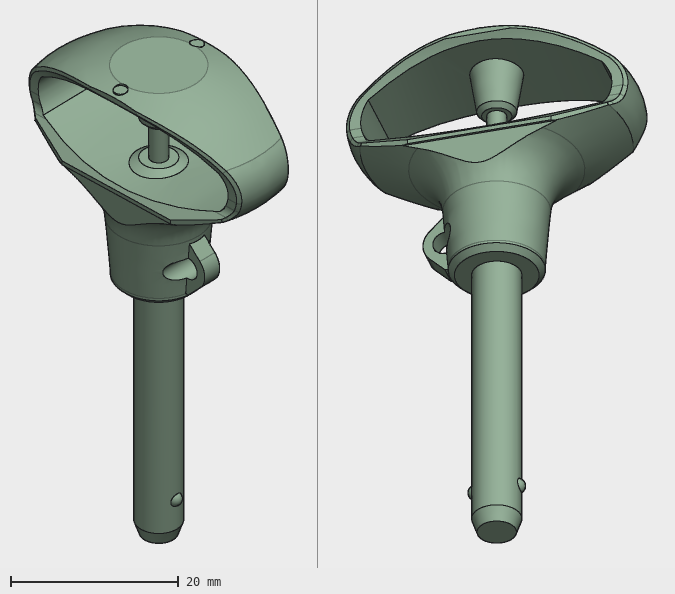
import cadquery as cq
import math

HANDLE_HEIGHT = 31.0
TOTAL_HEIGHT = 68.0
SHANK_LENGTH = TOTAL_HEIGHT - HANDLE_HEIGHT

CROWN_FLAT_RADIUS = 5.87
CROWN_SPHERE_RADIUS = 25.0
CROWN_EDGE_RADIUS = 16.35
RIM_RADIUS = 17.95
RIM_HEIGHT = 21.9
LOWER_RIM_RADIUS = 16.3
LOWER_RIM_HEIGHT = 18.2
FLARE_RADIUS = 10.5
FLARE_HEIGHT = 15.2
FLARE_MIDDLE = (7.8, 13.0)
NECK_TOP_RADIUS = 6.45
NECK_TOP_HEIGHT = 9.2
NECK_BOTTOM_RADIUS = 5.8
NECK_CHAMFER = 0.75
NECK_BAND_TOP = 1.1

MAX_HALF_WIDTH = 7.95
WAIST_HALF_WIDTH = 4.4
WAIST_TOP_HEIGHT = 21.3
WAIST_BOTTOM_HEIGHT = 20.1
WAIST_UPPER_RADIUS = 11.6
WAIST_UPPER_SWEEP = math.radians(60)
WAIST_LOWER_RADIUS = 1.7
WAIST_LOWER_SWEEP = math.radians(45)
LIP_HALF_WIDTH = 7.33
LIP_BOTTOM_HEIGHT = 15.9
FLAT_HALF_WIDTH = 7.05
LIP_BEVEL_START = 8.9
LIP_BEVEL_END = (15.4, 5.2)
SIDE_EDGE_CHAMFER = 0.4

WINDOW_HALF_LENGTH = 15.6
WINDOW_TIP_HEIGHT = 21.7
WINDOW_UPPER_HALF = 14.5
WINDOW_UPPER_HEIGHT = 24.8
WINDOW_LOWER_HALF = 14.5
WINDOW_LOWER_HEIGHT = 19.1
WINDOW_CEILING = 29.0
WINDOW_FLOOR = 16.9

PLUNGER_TOP_RADIUS = 3.25
PLUNGER_BOTTOM_RADIUS = 2.4
PLUNGER_BOTTOM_HEIGHT = 22.9
PLUNGER_CHAMFER = 0.6
ROD_RADIUS = 1.2
COLLAR_TOP_RADIUS = 2.4
COLLAR_BOTTOM_RADIUS = 3.65
COLLAR_TOP_HEIGHT = 17.6
JOINT_OVERLAP = 0.5

SPOT_RADIUS = 0.9
SPOT_OFFSET = 6.6
SPOT_DROP = 0.25

LUG_CENTER_X = 6.05
LUG_CENTER_HEIGHT = 5.0
LUG_RADIUS = 2.75
LUG_HOLE_RADIUS = 1.5
LUG_THICKNESS = 2.6

SHANK_RADIUS = 3.0
TIP_RADIUS = 2.35
TIP_LENGTH = 1.9
BALL_RADIUS = 0.95
BALL_REACH = 3.55
BALL_FROM_TIP = 6.15

CLEARANCE = 1.0


def crown_height(radius):
    """Height of the spherical crown at a given distance from the axis."""
    center = HANDLE_HEIGHT - math.sqrt(CROWN_SPHERE_RADIUS**2 - CROWN_FLAT_RADIUS**2)
    return center + math.sqrt(CROWN_SPHERE_RADIUS**2 - radius**2)


def turned(profile):
    """Revolve a profile of radius and height about Z, with its seam at -X."""
    solid = profile.close().revolve(360, (0, 0, 0), (0, 1, 0))
    return solid.rotate((0, 0, 0), (0, 0, 1), 180)


def handle_blank():
    crown_middle = (CROWN_FLAT_RADIUS + CROWN_EDGE_RADIUS) / 2
    return turned(
        cq.Workplane("XZ")
        .lineTo(NECK_BOTTOM_RADIUS - NECK_CHAMFER, 0)
        .lineTo(NECK_BOTTOM_RADIUS, NECK_CHAMFER)
        .lineTo(NECK_BOTTOM_RADIUS, NECK_BAND_TOP)
        .lineTo(NECK_TOP_RADIUS, NECK_TOP_HEIGHT)
        .threePointArc(FLARE_MIDDLE, (FLARE_RADIUS, FLARE_HEIGHT))
        .lineTo(LOWER_RIM_RADIUS, LOWER_RIM_HEIGHT)
        .threePointArc((RIM_RADIUS, RIM_HEIGHT), (CROWN_EDGE_RADIUS, crown_height(CROWN_EDGE_RADIUS)))
        .threePointArc((crown_middle, crown_height(crown_middle)), (CROWN_FLAT_RADIUS, HANDLE_HEIGHT))
        .lineTo(0, HANDLE_HEIGHT)
    )


def waist_point(start_height, radius, angle):
    """Point on an arc that leaves the waist vertically; a negative angle runs downward."""
    return (
        WAIST_HALF_WIDTH + radius * (1 - math.cos(angle)),
        start_height + radius * math.sin(angle),
    )


def side_cutter():
    """Everything outside the waisted +Y side of the handle."""
    lower_middle = waist_point(WAIST_BOTTOM_HEIGHT, WAIST_LOWER_RADIUS, -WAIST_LOWER_SWEEP / 2)
    lower_end = waist_point(WAIST_BOTTOM_HEIGHT, WAIST_LOWER_RADIUS, -WAIST_LOWER_SWEEP)
    upper_middle = waist_point(WAIST_TOP_HEIGHT, WAIST_UPPER_RADIUS, WAIST_UPPER_SWEEP / 2)
    upper_end = waist_point(WAIST_TOP_HEIGHT, WAIST_UPPER_RADIUS, WAIST_UPPER_SWEEP)
    lip_top = lower_end[1] - (LIP_HALF_WIDTH - lower_end[0]) * math.tan(WAIST_LOWER_SWEEP)
    outside = RIM_RADIUS + CLEARANCE
    return (
        cq.Workplane("YZ")
        .moveTo(WAIST_HALF_WIDTH, WAIST_TOP_HEIGHT)
        .lineTo(WAIST_HALF_WIDTH, WAIST_BOTTOM_HEIGHT)
        .threePointArc(lower_middle, lower_end)
        .lineTo(LIP_HALF_WIDTH, lip_top)
        .lineTo(LIP_HALF_WIDTH, LIP_BOTTOM_HEIGHT)
        .lineTo(FLAT_HALF_WIDTH, LIP_BOTTOM_HEIGHT)
        .lineTo(FLAT_HALF_WIDTH, NECK_TOP_HEIGHT)
        .lineTo(outside, NECK_TOP_HEIGHT)
        .lineTo(outside, upper_end[1])
        .lineTo(*upper_end)
        .threePointArc(upper_middle, (WAIST_HALF_WIDTH, WAIST_TOP_HEIGHT))
        .close()
        .extrude(outside, both=True)
    )


def is_side_edge(edge):
    """True for the sloping edges where a waisted side meets the turned surface of the rim and crown."""
    box = edge.BoundingBox()
    level = box.zlen < SIDE_EDGE_CHAMFER / 10
    on_rim_or_crown = edge.Center().z > LOWER_RIM_HEIGHT
    off_center = abs(edge.Center().y) > CLEARANCE
    return on_rim_or_crown and off_center and not level


def waisted_handle():
    cutter = side_cutter()
    body = handle_blank().cut(cutter).cut(cutter.mirror("XZ"))
    edges = [edge for edge in body.edges().vals() if is_side_edge(edge)]
    body = body.newObject(edges).chamfer(SIDE_EDGE_CHAMFER)
    width_limit = (
        cq.Workplane("XY")
        .rect(2 * (RIM_RADIUS + CLEARANCE), 2 * MAX_HALF_WIDTH)
        .extrude(HANDLE_HEIGHT + CLEARANCE)
    )
    return body.intersect(width_limit)


def lip_bevels():
    """Four upright prisms that bevel the ends of the two lips."""
    prism = (
        cq.Workplane("XY", origin=(0, 0, FLARE_HEIGHT))
        .moveTo(LIP_BEVEL_START, LIP_HALF_WIDTH)
        .lineTo(*LIP_BEVEL_END)
        .lineTo(LIP_BEVEL_END[0], LIP_HALF_WIDTH)
        .close()
        .extrude(WAIST_BOTTOM_HEIGHT - FLARE_HEIGHT)
    )
    pair = prism.union(prism.mirror("YZ"))
    return pair.union(pair.mirror("XZ"))


def window():
    upper_right = (WINDOW_UPPER_HALF, WINDOW_UPPER_HEIGHT)
    upper_left = (-WINDOW_UPPER_HALF, WINDOW_UPPER_HEIGHT)
    lower_right = (WINDOW_LOWER_HALF, WINDOW_LOWER_HEIGHT)
    lower_left = (-WINDOW_LOWER_HALF, WINDOW_LOWER_HEIGHT)
    return (
        cq.Workplane("XZ")
        .moveTo(*lower_left)
        .threePointArc((0, WINDOW_FLOOR), lower_right)
        .threePointArc((WINDOW_HALF_LENGTH, WINDOW_TIP_HEIGHT), upper_right)
        .threePointArc((0, WINDOW_CEILING), upper_left)
        .threePointArc((-WINDOW_HALF_LENGTH, WINDOW_TIP_HEIGHT), lower_left)
        .close()
        .extrude(MAX_HALF_WIDTH + CLEARANCE, both=True)
    )


def plunger():
    base = WINDOW_FLOOR - JOINT_OVERLAP
    top = WINDOW_CEILING + JOINT_OVERLAP
    return turned(
        cq.Workplane("XZ")
        .moveTo(0, base)
        .lineTo(COLLAR_BOTTOM_RADIUS, base)
        .lineTo(COLLAR_BOTTOM_RADIUS, WINDOW_FLOOR)
        .lineTo(COLLAR_TOP_RADIUS, COLLAR_TOP_HEIGHT)
        .lineTo(ROD_RADIUS, COLLAR_TOP_HEIGHT)
        .lineTo(ROD_RADIUS, PLUNGER_BOTTOM_HEIGHT)
        .lineTo(PLUNGER_BOTTOM_RADIUS - PLUNGER_CHAMFER, PLUNGER_BOTTOM_HEIGHT)
        .lineTo(PLUNGER_BOTTOM_RADIUS, PLUNGER_BOTTOM_HEIGHT + PLUNGER_CHAMFER)
        .lineTo(PLUNGER_TOP_RADIUS, WINDOW_CEILING)
        .lineTo(PLUNGER_TOP_RADIUS, top)
        .lineTo(0, top)
    )


def crown_spots():
    """Outlines of the two round flats, placed just below the level of the crown disc."""
    return (
        cq.Workplane("XY", origin=(0, 0, HANDLE_HEIGHT - SPOT_DROP))
        .pushPoints([(0, -SPOT_OFFSET), (0, SPOT_OFFSET)])
        .circle(SPOT_RADIUS)
    )


def lug():
    """Rounded lug whose 45-degree flanks run tangent from its arc into the neck."""
    tangent = LUG_RADIUS * math.sqrt(0.5)
    return (
        cq.Workplane("XZ")
        .moveTo(LUG_CENTER_X + tangent, LUG_CENTER_HEIGHT + tangent)
        .threePointArc(
            (LUG_CENTER_X + LUG_RADIUS, LUG_CENTER_HEIGHT),
            (LUG_CENTER_X + tangent, LUG_CENTER_HEIGHT - tangent),
        )
        .lineTo(LUG_CENTER_X, LUG_CENTER_HEIGHT - 2 * tangent)
        .lineTo(LUG_CENTER_X - tangent, LUG_CENTER_HEIGHT - 2 * tangent)
        .lineTo(LUG_CENTER_X - tangent, LUG_CENTER_HEIGHT + 3 * tangent)
        .close()
        .extrude(LUG_THICKNESS / 2, both=True)
    )


def lug_hole():
    return (
        cq.Workplane("XZ")
        .center(LUG_CENTER_X, LUG_CENTER_HEIGHT)
        .circle(LUG_HOLE_RADIUS)
        .extrude(NECK_TOP_RADIUS + CLEARANCE, both=True)
    )


def shank():
    body = (
        cq.Workplane("XY", origin=(0, 0, JOINT_OVERLAP))
        .circle(SHANK_RADIUS)
        .extrude(-SHANK_LENGTH - JOINT_OVERLAP)
        .faces("<Z")
        .chamfer(TIP_LENGTH, SHANK_RADIUS - TIP_RADIUS)
    )
    ball = cq.Workplane("XY").sphere(BALL_RADIUS)
    for side in (-1, 1):
        offset = side * (BALL_REACH - BALL_RADIUS)
        body = body.union(ball.translate((offset, 0, BALL_FROM_TIP - SHANK_LENGTH)))
    return body


result = waisted_handle().cut(lip_bevels()).cut(window())
result = result.cut(crown_spots().extrude(SPOT_DROP + CLEARANCE))
result = result.union(crown_spots().extrude(-SPOT_DROP))
result = result.union(plunger()).union(lug()).union(shank()).cut(lug_hole())